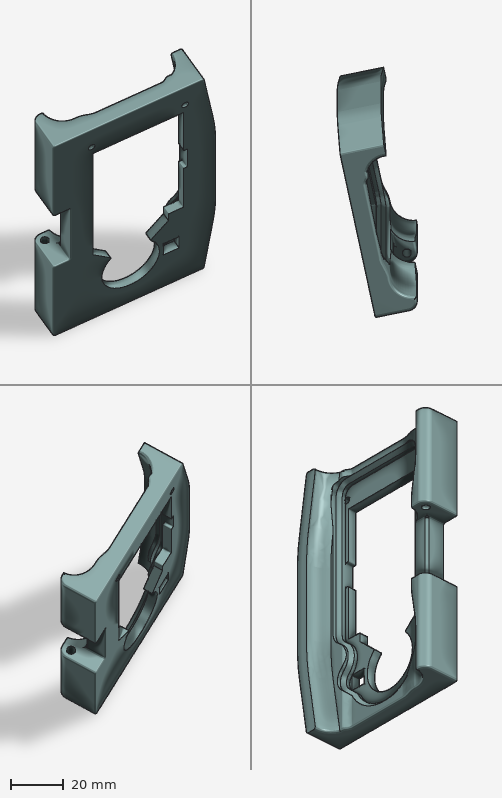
import cadquery as cq
import math

thickness = 17.0
width = 71.0
height = 117.0
mid_z = height / 2
slack = 1.2

grip_end_y = 65.9
grip_bend_z = 33.9
grip_bend_radius = 105.3
grip_wall = 5.0
grip_corner_radius = 1.2
front_corner_radius = 3.9
rim_radius = 1.0
back_radius = 0.6

floor_x = 9.8
shoulder_x = 8.3
floor_y = (22.9, 51.1)
shoulder_y = (15.0, 55.0)
scoop_overlap = 4.7

grip_scoop_radius = 8.2
grip_scoop_center_x = 0.9

block_scoop_radius = 8.9
block_scoop_center_x = shoulder_x - block_scoop_radius
block_scoop_end_y = 5.0
block_scoop_mid_y = 7.6
block_bend_z = (20.7, 36.5)
block_bend_radius = 41.0

plate_x = 13.1
pocket_center_y = 33.7
pocket_center_z = 23.3
pocket_radius = 17.9
pocket_side_y = 58.4
pocket_top_z = 111.9
pocket_corner_radius = 4.1
pocket_bevel = 1.6
blend_radius = 4.7
boss_radius = 9.4

disc_radius = 12.5
window_y = (17.3, 56.7)
window_top_z = 102.3
ledge_z = 43.8
ledge_y = 50.2
neck_top_z = 39.7
neck_y = (26.1, 41.7)
neck_bottom_z = 31.8
window_corner_radius = 0.5
clip_z = (67.6, 78.6)
square_size = 6.9
square_y = 51.4
pin_radius = 1.4
pin_y = (16.7, 57.5)
pin_z = 106.5

notch_height = 31.4
notch_z = (mid_z - notch_height / 2, mid_z + notch_height / 2)
bar_front_x = 8.1
bar_inner_y = 14.3
bar_edge_chamfer = 1.0
notch_radius = 0.8
notch_edge_radius = 0.9

hinge_x = 4.0
hinge_y = 3.7
hinge_radius = 1.6
hinge_depth = 11.7


def prism_x(sketch, x_start, x_end):
    """Extrude a closed YZ outline between two X positions."""
    return sketch.extrude(x_end - x_start).translate((x_start, 0, 0))


def box(x, y, z):
    """Box from (low, high) ranges."""
    size = (x[1] - x[0], y[1] - y[0], z[1] - z[0])
    return cq.Workplane().box(*size, centered=False).translate((x[0], y[0], z[0]))


def near(x, y, z):
    """Select shapes centered inside (low, high) ranges, with a little slack all round."""
    low, high = zip(x, y, z)
    return cq.selectors.BoxSelector([v - slack for v in low], [v + slack for v in high])


def smooth_path(points, radius):
    """Path in a plane of constant X through YZ points, with rounded bends."""
    wire = cq.Wire.makePolygon([cq.Vector(0, y, z) for y, z in points])
    return cq.Workplane(wire.fillet(radius))


def body():
    outline = [
        (0, 0),
        (grip_end_y, 0),
        (width, grip_bend_z),
        (width, height - grip_bend_z),
        (grip_end_y, height),
        (0, height),
    ]
    solid = cq.Workplane("YZ").polyline(outline).close().extrude(thickness)
    grip_ends = near((0, thickness), (grip_end_y, grip_end_y), (0, height))
    solid = solid.edges("|X").edges(grip_ends).fillet(grip_corner_radius)
    grip_bends = near((0, thickness), (width, width), (grip_bend_z, height - grip_bend_z))
    solid = solid.edges("|X").edges(grip_bends).fillet(grip_bend_radius)
    return solid.edges("|Z and <X and <Y").fillet(front_corner_radius)


def recess():
    """Full height hollow whose floor rises smoothly to a shoulder on either side."""
    return (
        cq.Workplane("XY")
        .moveTo(-slack, shoulder_y[0])
        .lineTo(shoulder_x, shoulder_y[0])
        .spline([(floor_x, floor_y[0])], tangents=[(0, 1), (0, 1)], includeCurrent=True)
        .lineTo(floor_x, floor_y[1])
        .spline([(shoulder_x, shoulder_y[1])], tangents=[(0, 1), (0, 1)], includeCurrent=True)
        .lineTo(-slack, shoulder_y[1])
        .close()
        .extrude(height)
    )


def scoop(path_points, bend_radius, arc_center_x, arc_radius, side):
    """Concave cutter swept along a side; side is +1 toward +Y and -1 toward -Y."""
    center_y, start_z = path_points[0]
    arc_start_x = max(arc_center_x, 0)
    front_reach = math.sqrt(arc_radius**2 - (arc_start_x - arc_center_x) ** 2)
    deep_reach = math.sqrt(arc_radius**2 - (shoulder_x - arc_center_x) ** 2)
    diagonal = arc_radius * math.sqrt(0.5)
    section = (
        cq.Workplane("XY", origin=(0, center_y, start_z))
        .moveTo(-slack, -side * scoop_overlap)
        .lineTo(-slack, side * front_reach)
        .lineTo(arc_start_x, side * front_reach)
        .threePointArc((arc_center_x + diagonal, side * diagonal), (shoulder_x, side * deep_reach))
        .lineTo(shoulder_x, -side * scoop_overlap)
        .close()
    )
    return section.sweep(smooth_path(path_points, bend_radius))


def grip_scoop():
    drop = grip_wall + grip_scoop_radius
    slope = (width - grip_end_y) / grip_bend_z
    overshoot = 2.3
    end_y = grip_end_y - drop - slope * overshoot
    points = [
        (end_y, -overshoot),
        (width - drop, grip_bend_z),
        (width - drop, height - grip_bend_z),
        (end_y, height + overshoot),
    ]
    return scoop(points, grip_bend_radius, grip_scoop_center_x, grip_scoop_radius, 1)


def block_scoop():
    front_reach = math.sqrt(block_scoop_radius**2 - block_scoop_center_x**2)
    end_y = block_scoop_end_y + front_reach
    mid_y = block_scoop_mid_y + front_reach
    points = [
        (end_y, 0),
        (end_y, block_bend_z[0]),
        (mid_y, block_bend_z[1]),
        (mid_y, height - block_bend_z[1]),
        (end_y, height - block_bend_z[0]),
        (end_y, height),
    ]
    return scoop(points, block_bend_radius, block_scoop_center_x, block_scoop_radius, -1)


def point_on(center, radius, angle):
    """Point on a YZ circle at an angle in degrees from +Y toward +Z."""
    turn = math.radians(angle)
    return (center[0] + radius * math.cos(turn), center[1] + radius * math.sin(turn))


def pocket_outline():
    disc = (pocket_center_y, pocket_center_z)
    square = (square_y, pocket_center_z)
    disc_end_angle = -26.0
    boss_angle = 46.5
    boss = point_on(square, blend_radius + boss_radius, boss_angle)
    blend_y = pocket_side_y - blend_radius
    blend_rise = math.sqrt((boss_radius + blend_radius) ** 2 - (boss[0] - blend_y) ** 2)
    blend = (blend_y, boss[1] + blend_rise)
    blend_angle = math.degrees(math.atan2(-blend_rise, boss[0] - blend_y))
    low_y = pocket_center_y - pocket_radius
    corner = pocket_corner_radius
    corner_z = pocket_top_z - corner
    return (
        cq.Workplane("YZ")
        .moveTo(low_y, pocket_center_z)
        .threePointArc(point_on(disc, pocket_radius, -90), point_on(disc, pocket_radius, disc_end_angle))
        .lineTo(*point_on(square, blend_radius, -45))
        .threePointArc(point_on(square, blend_radius, 0), point_on(square, blend_radius, boss_angle))
        .threePointArc(point_on(boss, boss_radius, 180), point_on(boss, boss_radius, 180 + blend_angle))
        .threePointArc(point_on(blend, blend_radius, blend_angle / 2), (pocket_side_y, blend[1]))
        .lineTo(pocket_side_y, corner_z)
        .threePointArc(point_on((pocket_side_y - corner, corner_z), corner, 45),
                       (pocket_side_y - corner, pocket_top_z))
        .lineTo(low_y + corner, pocket_top_z)
        .threePointArc(point_on((low_y + corner, corner_z), corner, 135), (low_y, corner_z))
        .close()
    )


def pocket():
    """Straight pocket with a 45 degree bevel around its mouth at the recess floor."""
    straight = prism_x(pocket_outline(), 0, plate_x)
    rim = pocket_outline().offset2D(pocket_bevel)
    bevel = rim.extrude(pocket_bevel, taper=45).translate((floor_x, 0, 0))
    mouth = prism_x(pocket_outline().offset2D(pocket_bevel), shoulder_x - slack, floor_x)
    return straight.union(mouth).union(bevel)


def window():
    outline = [
        (window_y[0], window_top_z),
        (window_y[0], neck_top_z),
        (neck_y[0], neck_bottom_z),
        (pocket_center_y, pocket_center_z),
        (neck_y[1], neck_bottom_z),
        (ledge_y, neck_top_z),
        (ledge_y, ledge_z),
        (window_y[1], ledge_z),
        (window_y[1], window_top_z),
    ]
    opening = prism_x(cq.Workplane("YZ").polyline(outline).close(), plate_x - slack, thickness)
    disc = cq.Workplane("YZ").center(pocket_center_y, pocket_center_z).circle(disc_radius)
    clip = box((plate_x - slack, thickness), (window_y[1] - slack, pocket_side_y), clip_z)
    opening = opening.union(clip).union(prism_x(disc, plate_x - slack, thickness))
    corners = near((plate_x - slack, thickness), (0, width), (ledge_z, height))
    neck_tips = near((plate_x - slack, thickness), (0, width), (neck_bottom_z, neck_bottom_z))
    opening = opening.edges("|X").edges(corners).fillet(window_corner_radius)
    return opening.edges("|X").edges(neck_tips).fillet(window_corner_radius)


def plate_holes():
    square = cq.Workplane("YZ").center(square_y, pocket_center_z).rect(square_size, square_size)
    pins = cq.Workplane("YZ").pushPoints([(y, pin_z) for y in pin_y]).circle(pin_radius)
    return prism_x(square, plate_x, thickness).union(prism_x(pins, plate_x, thickness))


def notch():
    beside = box((-slack, thickness + slack), (-slack, block_scoop_mid_y), notch_z)
    in_front = box((-slack, bar_front_x), (-slack, bar_inner_y), notch_z)
    bar_edge = cq.Workplane("XY").polyline([
        (bar_front_x, block_scoop_mid_y),
        (bar_front_x + bar_edge_chamfer, block_scoop_mid_y),
        (bar_front_x, block_scoop_mid_y + bar_edge_chamfer),
    ]).close().extrude(notch_height).translate((0, 0, notch_z[0]))
    beside = beside.edges("|X and >Y").fillet(notch_radius)
    in_front = in_front.edges("|Y and >X").fillet(notch_radius)
    return beside.union(in_front).union(bar_edge)


def hinge_holes():
    length = notch_height + 2 * hinge_depth
    return (
        cq.Workplane("XY", origin=(hinge_x, hinge_y, mid_z - length / 2))
        .circle(hinge_radius)
        .extrude(length)
    )


def rounded_shell():
    """Body with its front recess, rounded along the end rims."""
    shell = body().cut(recess()).cut(grip_scoop()).cut(block_scoop())
    rims = near((0, thickness - slack * 2), (0, grip_end_y - grip_wall), (0, height))
    return shell.faces("<Z or >Z").edges(rims).fillet(rim_radius)


def notched(part):
    """Cut the notch and round the edges it leaves on the -Y block."""
    part = part.cut(notch())
    block_edges = near((0, thickness - slack * 2), (0, block_scoop_end_y), notch_z)
    return part.edges(block_edges).edges("not |Z").fillet(notch_edge_radius)


result = notched(rounded_shell())
result = result.faces(">X").edges().fillet(back_radius)
result = result.cut(hinge_holes()).cut(pocket()).cut(window()).cut(plate_holes())